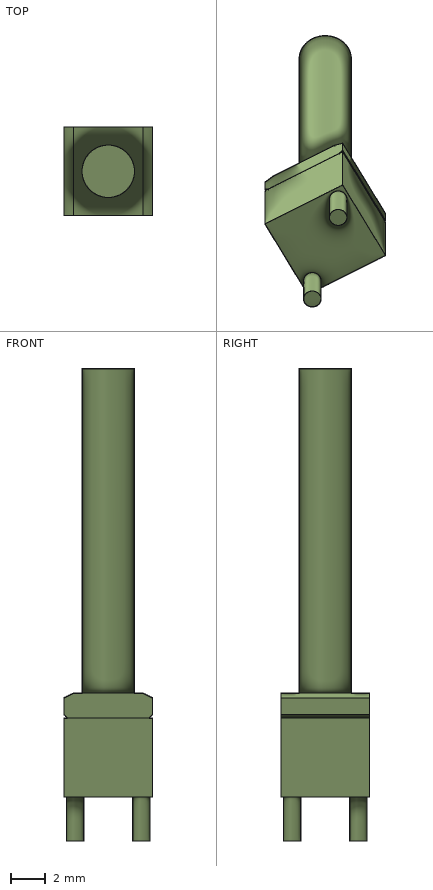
import cadquery as cq

total_height = 27.0
body_width = 5.08
pin_diameter = 1.0
pin_length = 2.5
pin_offset = 1.9
base_height = 4.5
cap_height = 1.43
top_bevel_width = 0.55
top_bevel_height = 0.27
bottom_bevel = 0.22
shaft_diameter = 3.0

base_top = pin_length + base_height
cap_top = base_top + cap_height
half_width = body_width / 2


def make_base():
    """Square block standing on two round pins at diagonally opposite corners."""
    block = (
        cq.Workplane("XY")
        .workplane(offset=pin_length)
        .rect(body_width, body_width)
        .extrude(base_height)
    )
    pins = (
        cq.Workplane("XY")
        .pushPoints([(-pin_offset, pin_offset), (pin_offset, -pin_offset)])
        .circle(pin_diameter / 2)
        .extrude(pin_length)
    )
    return block.union(pins)


def make_plunger():
    """Round shaft on a cap whose upper and lower edges are bevelled on the two X sides."""
    right_edge = [
        (half_width - bottom_bevel, base_top),
        (half_width, base_top + bottom_bevel),
        (half_width, cap_top - top_bevel_height),
        (half_width - top_bevel_width, cap_top),
    ]
    left_edge = [(-x, z) for x, z in reversed(right_edge)]
    cap = (
        cq.Workplane("XZ")
        .polyline(right_edge + left_edge)
        .close()
        .extrude(half_width, both=True)
    )
    shaft = (
        cq.Workplane("XY")
        .workplane(offset=cap_top)
        .circle(shaft_diameter / 2)
        .extrude(total_height - cap_top)
    )
    return cap.union(shaft)


base = make_base()
plunger = make_plunger()

result = cq.Compound.makeCompound([base.val(), plunger.val()])